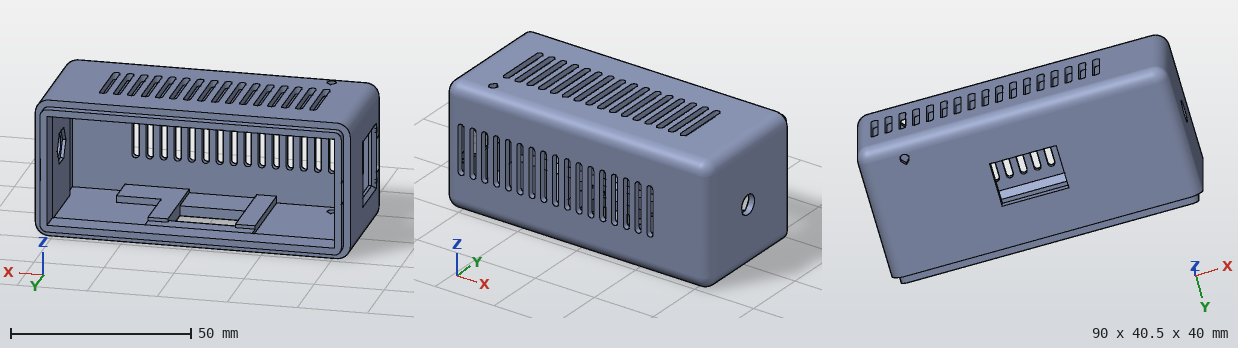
import cadquery as cq

length = 90.0
depth = 40.5
height = 40.0
wall = 2.0
edge_radius = 2 * wall

lip_depth = 2.5
lip_setback = 2.0
lip_wall = 2.0
shell_depth = depth - lip_depth
rim_inset = lip_setback + lip_wall
rim_slope = rim_inset - wall
rim_start = 31.8

latch_width = 2.2
latch_length = 6.3
latch_y = shell_depth + latch_width / 2

vent_width = 2.0
top_vent_count = 16
top_vent_first_x = -32.0
top_vent_last_x = 28.0
vent_pitch = (top_vent_last_x - top_vent_first_x) / (top_vent_count - 1)
top_vent_length = 17.8
top_vent_y = 20.1
front_vent_count = 17
front_vent_first_x = -39.1
front_vent_length = 16.0

teardrop_radius = 1.3
teardrop_x = -31.9
teardrop_y = 5.3

window_bevel = 1.1
window_front_y = 8.1
window_back_y = 22.05
window_height = 17.0
window_rib_thickness = 0.7
window_rib_width = 2.0

tab_slot_front_y = 3.0
tab_slot_height = 10.0
tab_slot_radius = 0.9
notch_front_y = 5.9
notch_height = 1.1
notch_z = 7.5

nut_y = 19.0
nut_flats = 9.0
nut_depth = 1.0
bolt_diameter = 6.2
end_pad_thickness = 1.0
end_pad_front_y = 9.0

pad_half_length = 15.3
pad_thickness = 1.0
rail_back_y = 27.45
rail_thickness = 1.0
opening_length = 19.3
opening_front_y = 13.3
opening_back_y = 26.0
block_end_x = 28.0
block_back_y = 11.9
block_height = 2.0

inner_x = length / 2 - wall
floor_z = wall - height / 2
window_outer_front_y = window_front_y - window_bevel


def box(x_range, y_range, z_range):
    """Box spanning the given (low, high) ranges."""
    spans = [high - low for low, high in (x_range, y_range, z_range)]
    corner = (x_range[0], y_range[0], z_range[0])
    return cq.Workplane("XY").box(*spans, centered=False).translate(corner)


def centred_box(inset, y_start, y_end):
    """Box inset equally from both ends, the top and the bottom of the case."""
    half_x = length / 2 - inset
    half_z = height / 2 - inset
    return box((-half_x, half_x), (y_start, y_end), (-half_z, half_z))


def outer_body():
    shell = centred_box(0, 0, shell_depth).edges("|Y or <Y").fillet(edge_radius)
    lip = centred_box(lip_setback, wall, depth).edges("|Y").fillet(edge_radius - lip_setback)
    return shell.union(lip)


def cavity():
    """Main room, then a 45 degree slope in to the narrower mouth of the lip."""
    room = centred_box(wall, wall, rim_start)
    slope = (
        cq.Workplane("XZ", origin=(0, rim_start, 0))
        .rect(length - 2 * wall, height - 2 * wall)
        .workplane(offset=-rim_slope)
        .rect(length - 2 * rim_inset, height - 2 * rim_inset)
        .loft(ruled=True)
    )
    mouth = centred_box(rim_inset, rim_start + rim_slope, depth)
    return room.union(slope).union(mouth)


def floor_details():
    """Raised pad with two rails beside the opening, and a low block."""
    pad_top = floor_z + pad_thickness
    details = box((-pad_half_length, pad_half_length), (wall, rim_start), (floor_z, pad_top))
    rail_z = (floor_z, pad_top + rail_thickness)
    for rail_x in (
        (-pad_half_length, -opening_length / 2),
        (opening_length / 2, pad_half_length),
    ):
        details = details.union(box(rail_x, (wall, rail_back_y), rail_z))
    block = box(
        (pad_half_length, block_end_x), (wall, block_back_y), (floor_z, floor_z + block_height)
    )
    return details.union(block)


def end_pad():
    """Thickened area of the +X wall that holds the nut."""
    return box(
        (inner_x - end_pad_thickness, inner_x),
        (end_pad_front_y, rim_start),
        (floor_z, -floor_z),
    )


def window_rib():
    """Upright rib inside the -X wall along the back edge of the window."""
    return box(
        (-inner_x, window_rib_thickness - inner_x),
        (window_back_y, window_back_y + window_rib_width),
        (-window_height / 2, window_height / 2),
    )


def floor_opening():
    half = opening_length / 2
    return box((-half, half), (opening_front_y, opening_back_y), (-height / 2, 0))


def vent_row(plane, first_x, count, centre, vent_length, cut_depth):
    """Row of upright round-ended slots spaced along X."""
    centres = [(first_x + i * vent_pitch, centre) for i in range(count)]
    return plane.pushPoints(centres).slot2D(vent_length, vent_width, 90).extrude(cut_depth)


def teardrop():
    """Circle topped by a 45 degree point towards +Y."""
    side = teardrop_radius / 2**0.5
    return (
        cq.Workplane("XY", origin=(teardrop_x, teardrop_y, 0))
        .moveTo(side, side)
        .lineTo(0, 2 * side)
        .lineTo(-side, side)
        .threePointArc((0, -teardrop_radius), (side, side))
        .close()
        .extrude(height / 2, both=True)
    )


def window():
    width = window_back_y - window_front_y
    centre_y = (window_front_y + window_back_y) / 2
    bevel = (
        cq.Workplane("YZ", origin=(-length / 2, centre_y, 0))
        .rect(width + 2 * window_bevel, window_height + 2 * window_bevel)
        .workplane(offset=window_bevel)
        .rect(width, window_height)
        .loft(ruled=True)
    )
    through = box(
        (-length / 2, -inner_x),
        (window_front_y, window_back_y),
        (-window_height / 2, window_height / 2),
    )
    return bevel.union(through)


def tab_slot():
    half = tab_slot_height / 2
    slot = box((-length / 2, -inner_x), (tab_slot_front_y, window_outer_front_y), (-half, half))
    return slot.edges("|X").fillet(tab_slot_radius)


def notch(centre_z):
    return box(
        (-length / 2, -inner_x),
        (notch_front_y, window_outer_front_y),
        (centre_z - notch_height / 2, centre_z + notch_height / 2),
    )


def nut_seat():
    seat_x = inner_x - end_pad_thickness
    across_corners = nut_flats * 2 / 3**0.5
    seat = cq.Workplane("YZ", origin=(seat_x, nut_y, 0)).polygon(6, across_corners).extrude(nut_depth)
    bolt = cq.Workplane("YZ", origin=(seat_x, nut_y, 0)).circle(bolt_diameter / 2).extrude(length / 2)
    return seat.union(bolt)


def latch_groove(side):
    """V groove in the lip face on the given side (-1 or +1) of X."""
    face_x = side * (length / 2 - lip_setback)
    half = latch_width / 2
    return (
        cq.Workplane("XY", origin=(face_x, latch_y, 0))
        .polyline([(0, -half), (-side * half, 0), (0, half)])
        .close()
        .extrude(latch_length / 2, both=True)
    )


result = outer_body().cut(cavity())
result = result.union(floor_details()).union(end_pad()).union(window_rib())

top_plane = cq.Workplane("XY")
front_plane = cq.Workplane("XZ", origin=(0, rim_start / 2, 0))
cutters = [
    floor_opening(),
    vent_row(top_plane, top_vent_first_x, top_vent_count, top_vent_y, top_vent_length, height / 2),
    vent_row(front_plane, front_vent_first_x, front_vent_count, 0, front_vent_length, depth),
    teardrop(),
    window(),
    tab_slot(),
    notch(notch_z),
    notch(-notch_z),
    nut_seat(),
    latch_groove(-1),
    latch_groove(1),
]
for cutter in cutters:
    result = result.cut(cutter)